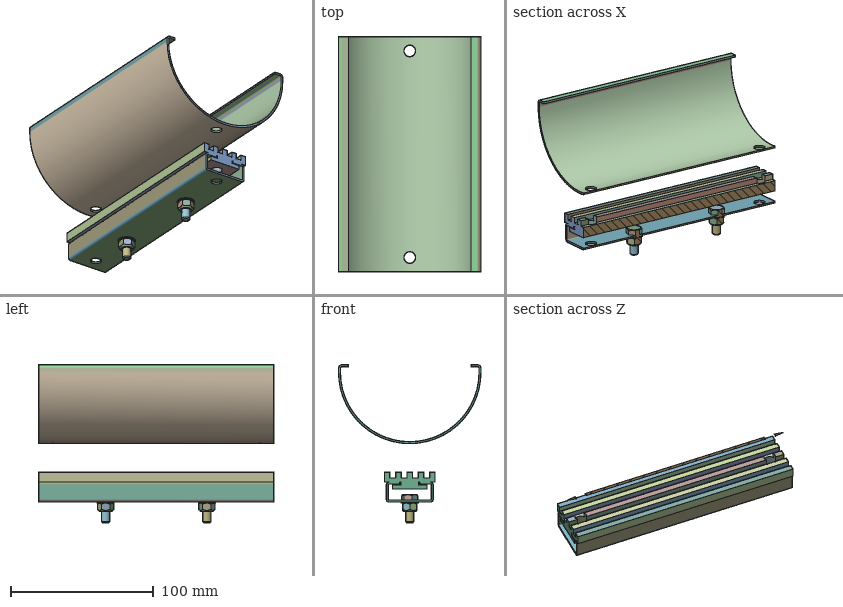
import cadquery as cq
import math

length = 165.0
hole_offset = 72.5
hole_diameter = 8.0

trough_radius = 50.0
trough_wall = 1.5
lip_height = 5.5
lip_width = 7.0
lip_bend_radius = 2.5

pad_gap = 20.0
rib_count = 5
rib_width = 4.0
rib_gap = 4.0
rib_height = 4.0
pad_height = 7.0
neck_width = 12.5
neck_height = 2.0
foot_width = 24.3
foot_height = 3.0

channel_width = 33.0
channel_height = 14.0
channel_wall = 1.5
channel_bend_radius = 2.0
channel_mouth = 13.7

bolt_offset = 35.5
bolt_diameter = 6.0
bolt_chamfer = 0.8
bolt_reach = 14.5
hex_flats = 10.0
hex_face_diameter = 9.5
head_height = 4.0
head_turn = -15.0
nut_turn = 90.0
nut_height = 6.3
nut_tip_diameter = 8.2
washer_diameter = 12.0
washer_thickness = 0.5

trough_bottom = -trough_radius
pad_top = trough_bottom - pad_gap
channel_top = pad_top - pad_height
channel_bottom = channel_top - channel_height
floor_top = channel_bottom + channel_wall
rib_pitch = rib_width + rib_gap
pad_width = rib_count * rib_width + (rib_count - 1) * rib_gap
hex_corners = hex_flats / math.cos(math.radians(30))


def block(width, bottom, top, x=0.0):
    """Full-length bar centred on x between two heights."""
    return (
        cq.Workplane("XY", origin=(x, 0, bottom))
        .rect(width, length)
        .extrude(top - bottom)
    )


def disc(diameter, bottom, top):
    """Cylinder on the Z axis between two heights."""
    return cq.Workplane("XY", origin=(0, 0, bottom)).circle(diameter / 2).extrude(top - bottom)


def mounting_holes(bottom, top):
    """Cutters for the two mounting holes."""
    return (
        cq.Workplane("XY", origin=(0, 0, bottom))
        .pushPoints([(0, -hole_offset), (0, hole_offset)])
        .circle(hole_diameter / 2)
        .extrude(top - bottom)
    )


def trough_outline(inset):
    """U shape with round upper corners, moved inward by inset."""
    radius = trough_radius - inset
    top = lip_height - inset
    return (
        cq.Workplane("XZ", origin=(0, length / 2, 0))
        .moveTo(-radius, top)
        .lineTo(-radius, 0)
        .threePointArc((0, -radius), (radius, 0))
        .lineTo(radius, top)
        .close()
        .extrude(length)
        .edges("|Y and >Z")
        .fillet(lip_bend_radius - inset)
    )


def make_trough():
    opening = block(2 * (trough_radius - lip_width), 0, lip_height)
    shell = trough_outline(0).cut(trough_outline(trough_wall)).cut(opening)
    return shell.cut(mounting_holes(trough_bottom, 0))


def make_pad():
    neck_bottom = channel_top - neck_height
    pad = block(pad_width, channel_top, pad_top)
    for i in range(rib_count - 1):
        x = (i - (rib_count - 2) / 2) * rib_pitch
        pad = pad.cut(block(rib_gap, pad_top - rib_height, pad_top, x))
    neck = block(neck_width, neck_bottom, channel_top)
    foot = block(foot_width, neck_bottom - foot_height, neck_bottom)
    return pad.union(neck).union(foot)


def make_channel():
    outside = block(channel_width, channel_bottom, channel_top)
    outside = outside.edges("|Y").fillet(channel_bend_radius)
    inside = block(channel_width - 2 * channel_wall, floor_top, channel_top - channel_wall)
    inside = inside.edges("|Y").fillet(channel_bend_radius - channel_wall)
    mouth = block(channel_mouth, channel_top - channel_wall, channel_top)
    return outside.cut(inside).cut(mouth)


def bevel_cone(face_z, face_diameter, direction):
    """45 degree cone that rounds off hexagon corners; direction is the way the face points, 1 or -1."""
    spread = hex_corners
    widest_z = face_z - direction * spread
    return (
        cq.Workplane("XZ")
        .polyline([
            (0, face_z),
            (face_diameter / 2, face_z),
            (face_diameter / 2 + spread, widest_z),
            (0, widest_z),
        ])
        .close()
        .revolve(360, (0, 0, 0), (0, 1, 0))
    )


def hexagon(bottom, top, turn):
    """Hexagonal prism on the Z axis; turn is the direction of one corner in degrees."""
    prism = cq.Workplane("XY", origin=(0, 0, bottom)).polygon(6, hex_corners).extrude(top - bottom)
    return prism.rotate((0, 0, 0), (0, 0, 1), turn)


def make_bolt():
    """Bolt with washer and nut, on the Z axis."""
    head_top = floor_top + head_height
    washer_bottom = channel_bottom - washer_thickness
    nut_bottom = washer_bottom - nut_height
    head = hexagon(floor_top, head_top, head_turn)
    head = head.intersect(bevel_cone(head_top, hex_face_diameter, 1))
    shank = disc(bolt_diameter, channel_bottom - bolt_reach, floor_top)
    shank = shank.faces("<Z").chamfer(bolt_chamfer)
    washer = disc(washer_diameter, washer_bottom, channel_bottom)
    nut = hexagon(nut_bottom, washer_bottom, nut_turn)
    nut = nut.intersect(bevel_cone(washer_bottom, hex_face_diameter, 1))
    nut = nut.intersect(bevel_cone(nut_bottom, nut_tip_diameter, -1))
    return head.union(shank).union(washer).union(nut)


def make_base():
    """Pad, channel and bolts joined into one solid."""
    base = make_pad().union(make_channel())
    base = base.cut(mounting_holes(channel_bottom, pad_top))
    for y in (-bolt_offset, bolt_offset):
        base = base.union(make_bolt().translate((0, y, 0)))
    return base


trough = make_trough()
base = make_base()

result = cq.Compound.makeCompound([trough.val(), base.val()])